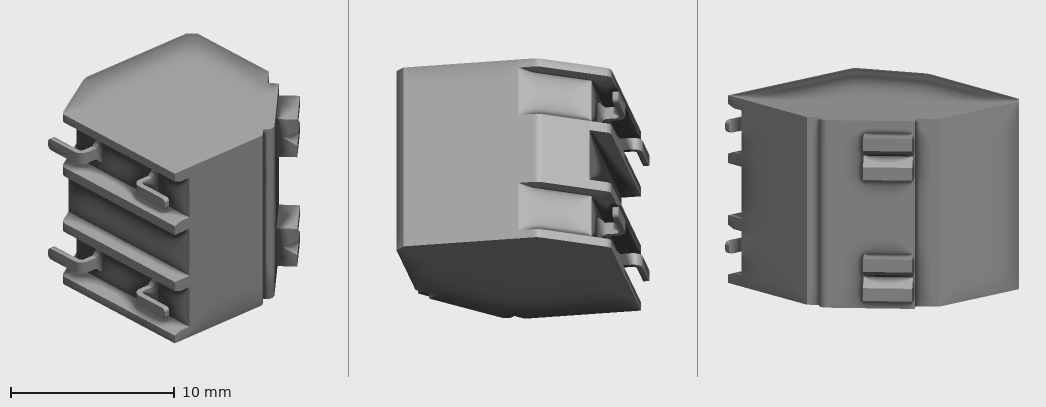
import cadquery as cq
import math

width = 12.7
height = 11.82
total_depth = 13.82
body_depth = 12.95

rear_chamfer_x = 0.48
rear_chamfer_y = 0.54
slant_rise = 4.08
slant_run = 2.43
slant_top_radius = 1.0
slant_foot_radius = 0.5
slope_start_x = 6.98

ridge_start = 1.45
ridge_length = 5.89
ridge_height = 0.66
ridge_nose_radius = 0.53

lug_inset = 0.08
lug_length = 3.01
lug_height = 1.29
lug_width = 2.63
groove_width = 1.02
groove_depth = 0.85

pole_pitch = 7.61
recess_depth = 1.2
channel_width = 2.76
lip_height = 0.18
lip_depth = 0.48
middle_slot_width = 3.28

lead_thickness = 0.36
lead_width = 0.76
lead_root_width = 1.45
lead_root_length = 0.15
lead_inner_radius = 0.23
lead_end_radius = 0.25
lead_center_x = 7.13
lead_foot_span = 10.61
lead_leg_gap = 4.7

pole_heights = [-pole_pitch / 2, pole_pitch / 2]
clearance = 1.38

slope_plane = cq.Plane(
    origin=(slope_start_x, body_depth, 0), xDir=(1, -1, 0), normal=(0, 0, 1)
)
lug_start = ridge_start + lug_inset
lug_top = ridge_height + lug_height
lug_tip_y = body_depth + (lug_top - lug_start) / math.sqrt(2)
lead_drop = total_depth - lug_tip_y


def upright_prism(points, z_center, z_size):
    """Closed XY polygon extruded symmetrically about z_center."""
    plane = cq.Workplane("XY", origin=(0, 0, z_center))
    return plane.polyline(points).close().extrude(z_size / 2, both=True)


def slope_box(start, length, base, top, z_center, z_size):
    """Box standing on the sloping face."""
    center = slope_plane.toWorldCoords((start + length / 2, (base + top) / 2, z_center))
    plane = cq.Plane(origin=center, xDir=slope_plane.xDir, normal=(0, 0, 1))
    return cq.Workplane(plane).box(length, top - base, z_size)


def rounded_outline(points):
    """Closed XY outline whose slanted front left stretch is rounded at both ends."""
    wire = cq.Wire.makePolygon([cq.Vector(x, y) for x, y in points], close=True)
    corners = [
        ((slant_run, 0, 0), slant_foot_radius),
        ((0, slant_rise, 0), slant_top_radius),
    ]
    for corner, radius in corners:
        vertex = cq.Workplane(wire).vertices(cq.NearestToPointSelector(corner)).val()
        wire = wire.fillet2D(radius, [vertex])
    return cq.Workplane("XY").add(wire).toPending()


def make_housing():
    outline = [
        (slant_run, 0),
        (width, 0),
        (width, body_depth - (width - slope_start_x)),
        (slope_start_x, body_depth),
        (rear_chamfer_x, body_depth),
        (0, body_depth - rear_chamfer_y),
        (0, slant_rise),
    ]
    body = rounded_outline(outline).extrude(height / 2, both=True)
    ridge = slope_box(ridge_start, ridge_length, -ridge_height, ridge_height, 0, height)
    nose = slope_plane.toWorldCoords((ridge_start + ridge_length, ridge_height, 0))
    ridge = ridge.edges(cq.NearestToPointSelector(nose.toTuple())).fillet(ridge_nose_radius)
    return body.union(ridge)


def make_lug(z_center):
    lug = slope_box(lug_start, lug_length, ridge_height, lug_top, z_center, lug_width)
    groove_origin = slope_plane.toWorldCoords((lug_start, lug_top, z_center))
    groove_plane = cq.Plane(origin=groove_origin, xDir=(0, 0, 1), normal=slope_plane.xDir)
    groove = (
        cq.Workplane(groove_plane)
        .polyline([(-groove_width / 2, 0), (groove_width / 2, 0), (0, groove_depth)])
        .close()
        .extrude(lug_length)
    )
    return lug.cut(groove)


def make_lip():
    """Flared block whose sides, following the front outline, recede by lip_depth over lip_height."""
    back = slant_rise + recess_depth + clearance
    far = width + clearance
    outline = [(slant_run, 0), (far, 0), (far, back), (0, back), (0, slant_rise)]
    taper = math.degrees(math.atan2(lip_depth, lip_height))
    return rounded_outline(outline).extrude(lip_height, taper=taper)


def make_channel(z_center):
    """Cutter for one lead channel; its mouth widens along the housing outline."""
    mouth_width = channel_width + 2 * lip_height
    region = [
        (0, slant_rise + recess_depth),
        (slant_run, recess_depth),
        (width + clearance, recess_depth),
        (width + clearance, -clearance),
        (-clearance, -clearance),
        (-clearance, slant_rise + recess_depth),
    ]
    channel = upright_prism(region, 0, mouth_width)
    lip = make_lip().translate((0, 0, -mouth_width / 2))
    channel = channel.cut(lip).cut(lip.mirror("XY"))
    return channel.translate((0, 0, z_center))


def make_middle_slot():
    return cq.Workplane("XY").box(
        width, recess_depth, middle_slot_width, centered=(False, False, True)
    )


def make_left_lead(z_center):
    """Lead that leaves the channel floor forwards and bends towards -X."""
    foot_x = lead_center_x - lead_foot_span / 2
    leg_x = lead_center_x - lead_leg_gap / 2
    outer_radius = lead_inner_radius + lead_thickness
    bend_x = leg_x - outer_radius
    bend_y = outer_radius - lead_drop
    diagonal = math.sqrt(0.5)
    strip = (
        cq.Workplane("XY")
        .moveTo(foot_x, -lead_drop)
        .lineTo(bend_x, -lead_drop)
        .threePointArc(
            (bend_x + outer_radius * diagonal, bend_y - outer_radius * diagonal),
            (leg_x, bend_y),
        )
        .lineTo(leg_x, recess_depth)
        .lineTo(leg_x - lead_thickness, recess_depth)
        .lineTo(leg_x - lead_thickness, bend_y)
        .threePointArc(
            (bend_x + lead_inner_radius * diagonal, bend_y - lead_inner_radius * diagonal),
            (bend_x, bend_y - lead_inner_radius),
        )
        .lineTo(foot_x, lead_thickness - lead_drop)
        .close()
        .extrude(lead_width / 2, both=True)
        .edges("<X and |Y")
        .fillet(lead_end_radius)
    )
    shoulder_y = recess_depth - lead_root_length
    flare = (lead_root_width - lead_width) / 2
    root_half = [
        (recess_depth, 0),
        (recess_depth, lead_root_width / 2),
        (shoulder_y, lead_root_width / 2),
        (shoulder_y - flare, lead_width / 2),
        (shoulder_y - flare, 0),
    ]
    root = (
        cq.Workplane("YZ", origin=(leg_x - lead_thickness, 0, 0))
        .polyline(root_half)
        .mirrorX()
        .extrude(lead_thickness)
    )
    return strip.union(root).translate((0, 0, z_center))


result = make_housing().cut(make_middle_slot())
for pole_z in pole_heights:
    left_lead = make_left_lead(pole_z)
    right_lead = left_lead.mirror("YZ", (lead_center_x, 0, 0))
    result = result.cut(make_channel(pole_z))
    result = result.union(make_lug(pole_z)).union(left_lead).union(right_lead)